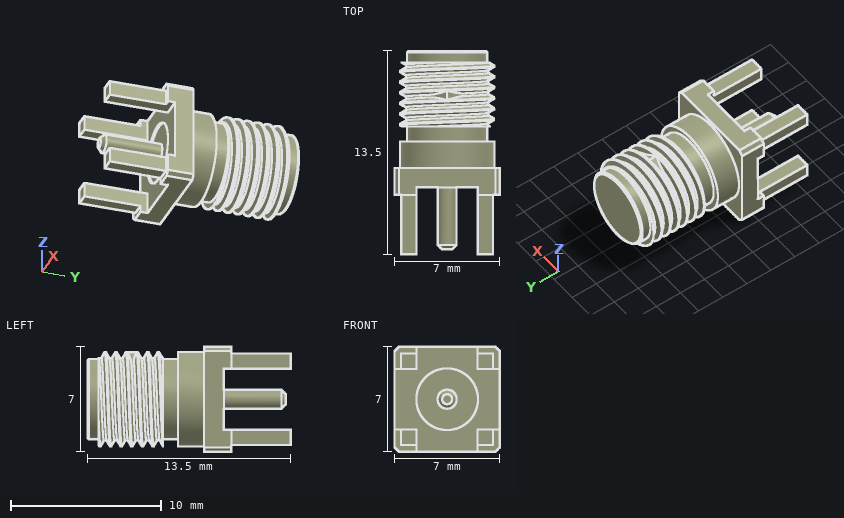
import cadquery as cq
import math


flange_width = 7.0
flange_thickness = 1.8
flange_corner_chamfer = 0.3
pad_height = 0.5
pad_inner_edge = 2.02

leg_width = 1.03
leg_length = 3.95

insulator_diameter = 4.1
insulator_recess = 0.1
pin_diameter = 1.27
pin_length = 3.62
pin_chamfer = 0.3

collar_diameter = 6.3
collar_length = 1.75
barrel_diameter = 5.35
barrel_mouth_chamfer = 0.1
neck_length = 0.98
mouth_length = 0.74
overall_length = 13.5

thread_root_diameter = 5.49
thread_crest_diameter = 6.26
thread_pitch = 25.4 / 36
thread_crest_flat = 0.08
flank_half_angle = math.radians(30)
crest_offset = 0.49
ridge_embed = 0.1
extra_turns = 2
blocked_groove_turn = 2
groove_block_half_angle = math.radians(38)

collar_end = flange_thickness + collar_length
thread_start = collar_end + neck_length
barrel_end = overall_length - leg_length
thread_length = barrel_end - mouth_length - thread_start
root_radius = thread_root_diameter / 2
crest_radius = thread_crest_diameter / 2


def cylinder_along_y(diameter, start, end):
    """Solid cylinder on the Y axis between two Y positions."""
    return (
        cq.Workplane("XZ", origin=(0, start, 0))
        .circle(diameter / 2)
        .extrude(start - end)
    )


def make_flange():
    """Square flange, relieved by a cross that leaves a pad at each corner."""
    flange = (
        cq.Workplane("XY")
        .box(flange_width, flange_thickness, flange_width, centered=(True, False, True))
        .edges("|Y")
        .chamfer(flange_corner_chamfer)
    )
    gap = 2 * pad_inner_edge
    relief_across_x = cq.Workplane("XY").box(
        flange_width, pad_height, gap, centered=(True, False, True)
    )
    relief_across_z = cq.Workplane("XY").box(
        gap, pad_height, flange_width, centered=(True, False, True)
    )
    recess = cylinder_along_y(insulator_diameter, pad_height, pad_height + insulator_recess)
    return flange.cut(relief_across_x).cut(relief_across_z).cut(recess)


def make_legs():
    """Four square legs flush with the inner faces of the pads."""
    leg_centre = pad_inner_edge + leg_width / 2
    corners = [(sx * leg_centre, sz * leg_centre) for sx in (-1, 1) for sz in (-1, 1)]
    return cq.Workplane("XZ").pushPoints(corners).rect(leg_width, leg_width).extrude(leg_length)


def make_pin():
    """Centre pin with a chamfered tip, rooted in the flange."""
    pin = cylinder_along_y(pin_diameter, -pin_length, flange_thickness)
    return pin.faces("<Y").chamfer(pin_chamfer)


def make_barrel():
    """Collar and plain barrel with a chamfered mouth end."""
    collar = cylinder_along_y(collar_diameter, flange_thickness, collar_end)
    barrel = cylinder_along_y(barrel_diameter, flange_thickness, barrel_end)
    return collar.union(barrel.faces(">Y").chamfer(barrel_mouth_chamfer))


def make_thread():
    """Right-handed helical ridge on the root cylinder, cut off square at both ends.

    It is built along Z from the thread start and then turned onto the Y axis.
    """
    base_radius = root_radius - ridge_embed
    crest_half = thread_crest_flat / 2
    base_half = crest_half + (crest_radius - base_radius) * math.tan(flank_half_angle)
    ridge_start = crest_offset - extra_turns * thread_pitch
    ridge_length = thread_length + 2 * extra_turns * thread_pitch

    helix = cq.Wire.makeHelix(
        thread_pitch, ridge_length, root_radius, center=cq.Vector(0, 0, ridge_start)
    )
    ridge = (
        cq.Workplane("XZ", origin=(0, 0, ridge_start))
        .polyline([
            (base_radius, -base_half),
            (crest_radius, -crest_half),
            (crest_radius, crest_half),
            (base_radius, base_half),
        ])
        .close()
        .sweep(cq.Workplane(helix), isFrenet=True)
    )
    envelope = cq.Workplane("XY").circle(thread_crest_diameter).extrude(thread_length)
    root = cq.Workplane("XY").circle(root_radius).extrude(thread_length)
    thread = root.union(ridge.intersect(envelope))
    return thread.rotate((0, 0, 0), (1, 0, 0), -90).translate((0, thread_start, 0))


def make_groove_block():
    """Ramped block on the +Z side that closes the middle thread groove up to the crests."""
    foot_x = root_radius * math.sin(groove_block_half_angle)
    foot_z = root_radius * math.cos(groove_block_half_angle)
    crest_on_top = thread_start + crest_offset + blocked_groove_turn * thread_pitch - thread_pitch / 4
    block_centre = crest_on_top + thread_pitch / 2
    block = (
        cq.Workplane("XZ", origin=(0, block_centre + thread_pitch / 2, 0))
        .polyline([(-foot_x, foot_z), (0, crest_radius), (foot_x, foot_z)])
        .close()
        .extrude(thread_pitch)
    )
    lead_angle = math.degrees(math.atan(thread_pitch / (math.pi * thread_crest_diameter)))
    return block.rotate((0, block_centre, 0), (0, block_centre, 1), lead_angle)


result = (
    make_flange()
    .union(make_legs())
    .union(make_pin())
    .union(make_barrel())
    .union(make_thread())
    .union(make_groove_block())
)